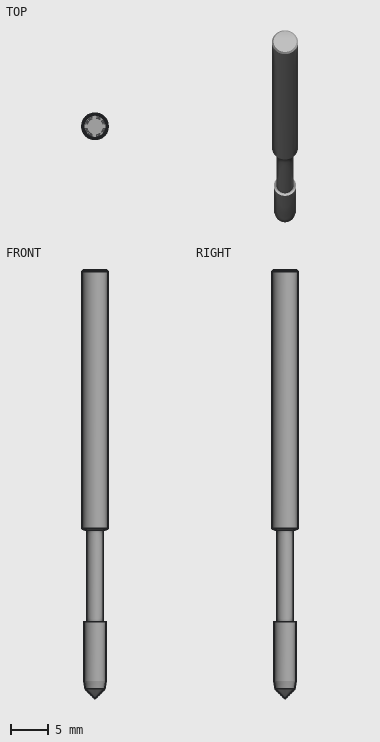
import cadquery as cq

TOTAL_LENGTH = 57.25

BARREL_DIAMETER = 3.5
BARREL_BOTTOM_Z = 22.5
TOP_CHAMFER = 0.25
BOTTOM_CHAMFER_HEIGHT = 0.25
BOTTOM_CHAMFER_WIDTH = 0.45

SHAFT_DIAMETER = 2.25
HEAD_DIAMETER = 3.0
HEAD_TOP_Z = 10.3
TAPER_TOP_Z = 2.35
TIP_HEIGHT = 1.3
TIP_RADIUS = TIP_HEIGHT


def revolve_profile(points):
    """Revolve a closed outline of (radius, z) points around the Z axis."""
    return cq.Workplane("XZ").polyline(points).close().revolve(360, (0, 0), (0, 1))


def make_barrel():
    """Cylinder with chamfered ends, its bottom face resting on the plunger shaft."""
    radius = BARREL_DIAMETER / 2
    return revolve_profile([
        (0, BARREL_BOTTOM_Z),
        (radius - BOTTOM_CHAMFER_WIDTH, BARREL_BOTTOM_Z),
        (radius, BARREL_BOTTOM_Z + BOTTOM_CHAMFER_HEIGHT),
        (radius, TOTAL_LENGTH - TOP_CHAMFER),
        (radius - TOP_CHAMFER, TOTAL_LENGTH),
        (0, TOTAL_LENGTH),
    ])


def make_plunger():
    """Slim shaft with a wider head that tapers slightly before its conical tip."""
    shaft_radius = SHAFT_DIAMETER / 2
    head_radius = HEAD_DIAMETER / 2
    return revolve_profile([
        (0, 0),
        (TIP_RADIUS, TIP_HEIGHT),
        (head_radius, TAPER_TOP_Z),
        (head_radius, HEAD_TOP_Z),
        (shaft_radius, HEAD_TOP_Z),
        (shaft_radius, BARREL_BOTTOM_Z),
        (0, BARREL_BOTTOM_Z),
    ])


barrel = make_barrel()
plunger = make_plunger()

result = cq.Compound.makeCompound([barrel.val(), plunger.val()])